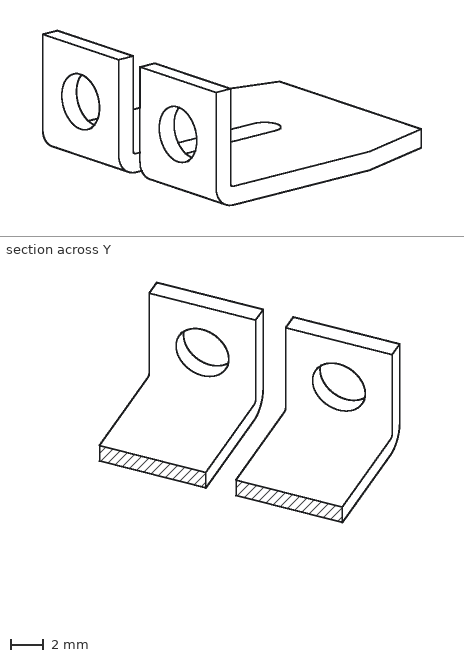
import cadquery as cq
import math

width = 16.2
length = 18.0
height = 7.5

thickness = 1.2
inner_bend_radius = 0.2
outer_bend_radius = inner_bend_radius + thickness

slot_width = 2.0
slot_depth = 12.0

taper_length = 5.5
taper_angle = 15.0
taper_inset = taper_length * math.tan(math.radians(taper_angle))

hole_diameter = 3.51
hole_height = 4.0
tab_width = (width - slot_width) / 2
hole_offset = (slot_width + tab_width) / 2


def bent_sheet():
    """L-shaped sheet: upright outer face at Y = 0, plate underside at Z = 0."""
    profile = (
        cq.Workplane("YZ")
        .moveTo(length, 0)
        .lineTo(outer_bend_radius, 0)
        .radiusArc((0, outer_bend_radius), outer_bend_radius)
        .lineTo(0, height)
        .lineTo(thickness, height)
        .lineTo(thickness, outer_bend_radius)
        .radiusArc((outer_bend_radius, thickness), -inner_bend_radius)
        .lineTo(length, thickness)
        .close()
    )
    return profile.extrude(width / 2, both=True)


def corner_taper(side):
    """Triangular cutter for the rear corner on one side (-1 or 1)."""
    edge = side * width / 2
    return (
        cq.Workplane("XY")
        .moveTo(edge, length - taper_length)
        .lineTo(edge, length)
        .lineTo(edge - side * taper_inset, length)
        .close()
        .extrude(thickness)
    )


def slot():
    """Round-ended cutter, open at the front and through the full height."""
    end_radius = slot_width / 2
    straight_end = slot_depth - end_radius
    return (
        cq.Workplane("XY")
        .moveTo(-end_radius, 0)
        .lineTo(-end_radius, straight_end)
        .threePointArc((0, slot_depth), (end_radius, straight_end))
        .lineTo(end_radius, 0)
        .close()
        .extrude(height)
    )


def tab_hole(side):
    """Cylindrical cutter through the tab on one side (-1 or 1)."""
    return (
        cq.Workplane("XZ")
        .center(side * hole_offset, hole_height)
        .circle(hole_diameter / 2)
        .extrude(-thickness)
    )


result = bent_sheet().cut(slot())
for side in (-1, 1):
    result = result.cut(corner_taper(side)).cut(tab_hole(side))